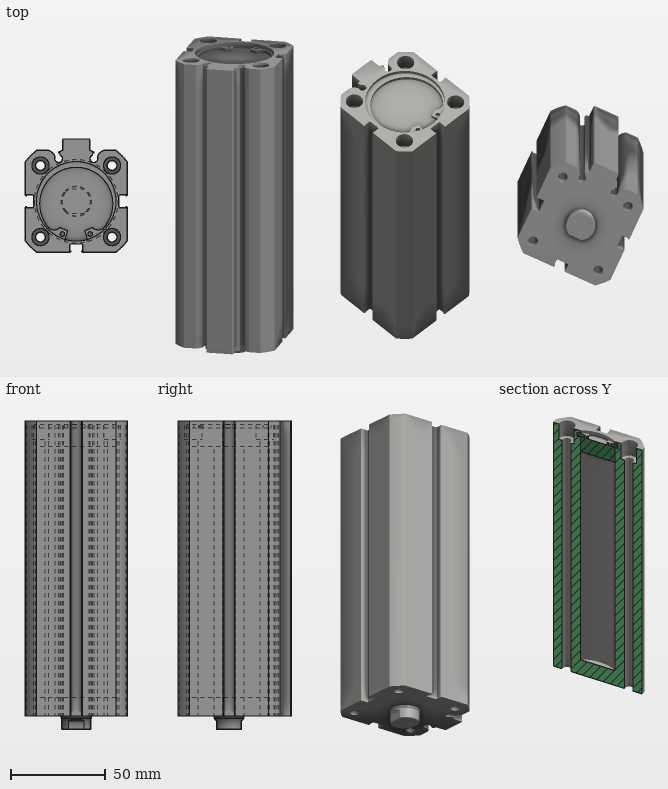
import cadquery as cq
import math

barrel_length = 156.0
barrel_width = 54.0
half_width = barrel_width / 2
flat_half_width = 20.9
corner_radius = math.hypot(half_width, flat_half_width)

slot_width = 6.7
slot_depth = 4.4
slot_mouth_width = 5.5
slot_mouth_flare = 0.5
slot_lip = 0.7
slot_corner_radius = 0.5

rail_width = 14.5
overall_depth = 60.0
rail_top = overall_depth - half_width
rail_edge_chamfer = 0.5
lip_x = 9.3
lip_top = 26.0
lip_bottom = 25.5
lip_root_x = 8.6
groove_x = 9.3
groove_y = 22.5
groove_radius = 2.0
shoulder_start_y = 23.8
shoulder_mid_x = 12.4
shoulder_mid_y = 25.6
shoulder_end_x = 14.7

hole_offset = 18.9
hole_diameter = 5.0
counterbore_diameter = 9.1
counterbore_depth = 9.8

bore_diameter = 42.0
ring_groove_diameter = 44.2
ring_depth = 2.0
ring_thickness = 1.8
end_wall = 9.8

ring_opening_diameter = 38.6
ring_opening_shift = 1.3
ring_gap_angle = 16.4
ear_tip_x = 4.5
ear_tip_y = 15.5
ear_heel_x = 8.6
ear_heel_y = 13.9
scallop_mid_x = 11.7
scallop_mid_y = 15.2
scallop_end_angle = 48.0
ear_hole_x = 7.3
ear_hole_y = 17.3
ear_hole_diameter = 2.5

cap_thickness = 9.8
rod_diameter = 16.0
rod_projection = 7.0
rod_end_diameter = 15.5
rod_shoulder_depth = 1.0
rod_end_chamfer = 0.3
flats_width = 13.0
flats_start = 2.6
flats_slope_height = 1.1

ring_top = barrel_length - ring_depth
ring_bottom = ring_top - ring_thickness
cap_bottom = ring_bottom - cap_thickness


def sensor_groove_cutter(side):
    """Opening beside the rail on one side (+1 or -1), up to the level of the rail's top."""
    lip_root_y = groove_y + math.sqrt(groove_radius**2 - (groove_x - lip_root_x) ** 2)
    groove_outer_x = groove_x + groove_radius

    def at(x, y):
        return (side * x, y)

    return (
        cq.Workplane("XY")
        .moveTo(*at(rail_width / 2, rail_top))
        .lineTo(*at(rail_width / 2, half_width))
        .lineTo(*at(lip_x, lip_top))
        .lineTo(*at(lip_x, lip_bottom))
        .lineTo(*at(lip_root_x, lip_bottom))
        .lineTo(*at(lip_root_x, lip_root_y))
        .threePointArc(at(groove_x, groove_y - groove_radius), at(groove_outer_x, groove_y))
        .lineTo(*at(groove_outer_x, shoulder_start_y))
        .threePointArc(at(shoulder_mid_x, shoulder_mid_y), at(shoulder_end_x, half_width))
        .lineTo(*at(shoulder_end_x, rail_top))
        .close()
        .extrude(barrel_length)
    )


def t_slot_cutter(angle):
    """T-slot cut into the -Y side, turned about the axis by the given angle."""
    mouth_half = slot_mouth_width / 2
    flare_half = mouth_half + slot_mouth_flare
    chamber_half = slot_width / 2
    half_outline = [
        (flare_half, 0),
        (mouth_half, slot_mouth_flare),
        (mouth_half, slot_lip),
        (chamber_half, slot_lip),
        (chamber_half, slot_depth),
    ]
    mirrored = [(-x, depth) for x, depth in reversed(half_outline)]
    slot = (
        cq.Workplane("XY")
        .polyline(half_outline + mirrored)
        .close()
        .extrude(barrel_length)
        .edges("|Z and >Y")
        .fillet(slot_corner_radius)
        .translate((0, -half_width, 0))
    )
    return slot.rotate((0, 0, 0), (0, 0, 1), angle)


def make_barrel():
    square = cq.Workplane("XY").rect(barrel_width, barrel_width).extrude(barrel_length)
    body = square.intersect(cq.Workplane("XY").circle(corner_radius).extrude(barrel_length))
    rail_height = rail_top - half_width
    rail = (
        cq.Workplane("XY")
        .center(0, rail_top - rail_height / 2)
        .rect(rail_width, rail_height)
        .extrude(barrel_length)
        .edges("|Z and >Y")
        .chamfer(rail_edge_chamfer)
    )
    body = body.union(rail)

    for side in (1, -1):
        body = body.cut(sensor_groove_cutter(side))
    for angle in (-90, 0, 90):
        body = body.cut(t_slot_cutter(angle))

    body = (
        body.faces(">Z")
        .workplane(origin=(0, 0, barrel_length))
        .rect(2 * hole_offset, 2 * hole_offset, forConstruction=True)
        .vertices()
        .cboreHole(hole_diameter, counterbore_diameter, counterbore_depth)
    )

    bore = (
        cq.Workplane("XY")
        .workplane(offset=end_wall)
        .circle(bore_diameter / 2)
        .extrude(barrel_length - end_wall)
    )
    ring_groove = (
        cq.Workplane("XY")
        .workplane(offset=ring_bottom)
        .circle(ring_groove_diameter / 2)
        .extrude(ring_thickness)
    )
    rod_hole = cq.Workplane("XY").circle(rod_diameter / 2).extrude(end_wall)
    return body.cut(bore).cut(ring_groove).cut(rod_hole)


def make_retaining_ring():
    outer_radius = ring_groove_diameter / 2
    opening_radius = ring_opening_diameter / 2
    gap = math.radians(ring_gap_angle)
    scallop_end = math.radians(scallop_end_angle)
    gap_x = outer_radius * math.sin(gap)
    gap_y = -outer_radius * math.cos(gap)
    scallop_end_x = opening_radius * math.sin(scallop_end)
    scallop_end_y = -ring_opening_shift - opening_radius * math.cos(scallop_end)

    ring = (
        cq.Workplane("XY")
        .workplane(offset=ring_bottom)
        .moveTo(-gap_x, gap_y)
        .threePointArc((0, outer_radius), (gap_x, gap_y))
        .lineTo(ear_tip_x, -ear_tip_y)
        .lineTo(ear_heel_x, -ear_heel_y)
        .threePointArc((scallop_mid_x, -scallop_mid_y), (scallop_end_x, scallop_end_y))
        .threePointArc((0, opening_radius - ring_opening_shift), (-scallop_end_x, scallop_end_y))
        .threePointArc((-scallop_mid_x, -scallop_mid_y), (-ear_heel_x, -ear_heel_y))
        .lineTo(-ear_tip_x, -ear_tip_y)
        .close()
        .extrude(ring_thickness)
    )
    ear_holes = (
        cq.Workplane("XY")
        .workplane(offset=ring_bottom)
        .pushPoints([(-ear_hole_x, -ear_hole_y), (ear_hole_x, -ear_hole_y)])
        .circle(ear_hole_diameter / 2)
        .extrude(ring_thickness)
    )
    return ring.cut(ear_holes)


def make_end_cap():
    return cq.Workplane("XY").workplane(offset=cap_bottom).circle(bore_diameter / 2).extrude(cap_thickness)


def flat_cutter(side):
    """Material outside one wrench flat (side +1 or -1 along Y), with its sloping shoulder."""
    flat_y = flats_width / 2
    rod_end_radius = rod_end_diameter / 2
    return (
        cq.Workplane("YZ")
        .polyline([
            (side * flat_y, -rod_projection),
            (side * flat_y, -flats_start),
            (side * rod_end_radius, -flats_start + flats_slope_height),
            (side * rod_end_radius, -rod_projection),
        ])
        .close()
        .extrude(rod_end_radius, both=True)
    )


def make_rod():
    full_radius = rod_diameter / 2
    end_radius = rod_end_diameter / 2
    shoulder_height = full_radius - end_radius
    rod = (
        cq.Workplane("XZ")
        .polyline([
            (0, cap_bottom),
            (full_radius, cap_bottom),
            (full_radius, -rod_shoulder_depth),
            (end_radius, -rod_shoulder_depth - shoulder_height),
            (end_radius, -rod_projection + rod_end_chamfer),
            (end_radius - rod_end_chamfer, -rod_projection),
            (0, -rod_projection),
        ])
        .close()
        .revolve(360, (0, 0, 0), (0, 1, 0))
    )
    for side in (1, -1):
        rod = rod.cut(flat_cutter(side))
    return rod


barrel = make_barrel()
retaining_ring = make_retaining_ring()
end_cap = make_end_cap()
rod = make_rod()

result = cq.Compound.makeCompound([
    barrel.val(),
    retaining_ring.val(),
    end_cap.val(),
    rod.val(),
])